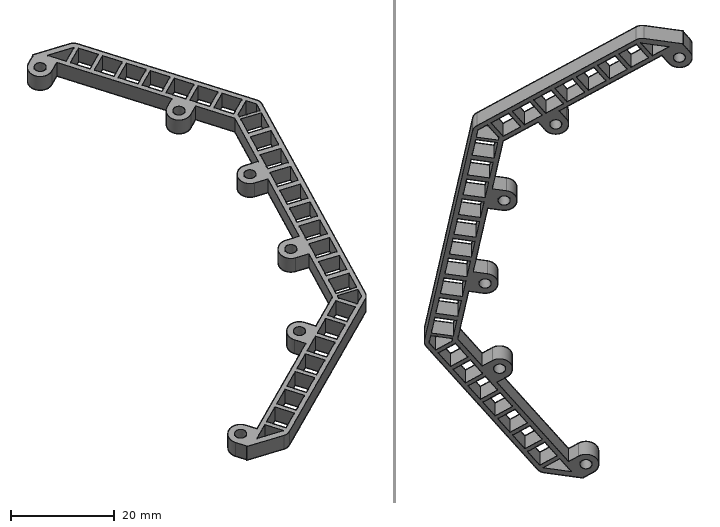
import cadquery as cq
import math


length = 110.0
depth = 38.5
height = 4.0

bar_width = 6.3
sloped_bar_width = 6.0
inner_corner_x = 25.1
corner_round = 2.0
wall = 1.0
end_wall = 1.2

straight_rib = 1.1
sloped_rib = 0.9
end_rib = 0.7
straight_windows = 10
ladder_length = 50.0
sloped_windows = 7
sloped_start = 0.2

lug_width = 5.0
hole_diameter = 2.3
straight_lug_spacing = 21.0
straight_lug_reach = 2.8
end_lug_x = 51.5
sloped_lug_spacing = 29.0

diagonal = math.sqrt(2)
half_length = length / 2
rib_pitch = ladder_length / straight_windows
lug_radius = lug_width / 2
inner_slope_offset = inner_corner_x - bar_width
outer_slope_offset = inner_slope_offset + sloped_bar_width * diagonal
outer_corner_x = outer_slope_offset
side_corner_y = outer_slope_offset - half_length
end_lug_y = lug_radius - depth
lug_step = sloped_lug_spacing / diagonal
sloped_lug_reach = (inner_slope_offset - end_lug_x - end_lug_y) / diagonal

straight_lug = (-straight_lug_spacing / 2, -bar_width - straight_lug_reach)
sloped_lugs = [
    (-end_lug_x, end_lug_y),
    (-end_lug_x + lug_step, end_lug_y + lug_step),
]


def prism(points):
    """Full-height block over a closed outline."""
    return cq.Workplane("XY").polyline(points).close().extrude(height)


def both_sides(shape):
    """The shape joined with its mirror image about X = 0."""
    return shape.union(shape.mirror("YZ"))


def make_half_bars():
    """Solid straight and sloped bars with the two outer corners rounded."""
    bars = prism([
        (0, 0),
        (-outer_corner_x, 0),
        (-half_length, side_corner_y),
        (-half_length, inner_slope_offset - half_length),
        (-inner_corner_x, -bar_width),
        (0, -bar_width),
    ])
    margin = wall
    outer_corners = cq.selectors.BoxSelector(
        (-half_length - margin, side_corner_y - margin, 0),
        (-outer_corner_x + margin, margin, height),
    )
    return bars.edges("|Z").edges(outer_corners).fillet(corner_round)


def make_lug(centre, reach, angle):
    """Round-ended tab that roots one wall thickness inside the bar's inner edge."""
    root_length = reach + wall
    root = cq.Workplane("XY").center(0, root_length / 2).rect(lug_width, root_length).extrude(height)
    tab = root.union(cq.Workplane("XY").circle(lug_radius).extrude(height))
    return tab.rotate((0, 0, 0), (0, 0, 1), angle).translate(centre)


def make_half_frame():
    """Bars and lugs, with the end lug's root trimmed flush with the side face."""
    frame = make_half_bars().union(make_lug(straight_lug, straight_lug_reach, 0))
    for centre in sloped_lugs:
        frame = frame.union(make_lug(centre, sloped_lug_reach, 45))
    half_envelope = cq.Workplane("XY").box(half_length, depth, height, centered=False)
    return frame.intersect(half_envelope.translate((-half_length, -depth, 0)))


def make_straight_windows():
    """Full row of windows, with a rib on the centre line."""
    return (
        cq.Workplane("XY")
        .center(0, -bar_width / 2)
        .rarray(rib_pitch, 1.1, straight_windows, 1)
        .rect(rib_pitch - straight_rib, bar_width - 2 * wall)
        .extrude(height)
    )


def make_sloped_windows():
    """Row of windows down the left slope."""
    slope = cq.Plane(origin=(-inner_corner_x, -bar_width, 0), xDir=(-1, -1, 0), normal=(0, 0, 1))
    row_centre = sloped_start + sloped_windows * rib_pitch / 2
    return (
        cq.Workplane(slope)
        .center(row_centre, -sloped_bar_width / 2)
        .rarray(rib_pitch, 1.1, sloped_windows, 1)
        .rect(rib_pitch - sloped_rib, sloped_bar_width - 2 * wall)
        .extrude(height)
    )


def rib_line_sum(distance):
    """Value of x + y on the line square to the slope, at a distance from the inner corner."""
    return -inner_corner_x - bar_width - distance * diagonal


def crossing(line_sum, slope_offset):
    """Point where x + y = line_sum meets y = x + slope_offset."""
    return ((line_sum - slope_offset) / 2, (line_sum + slope_offset) / 2)


def make_corner_window():
    """Window between the straight and sloped ladders, with a narrow floor above the inner corner."""
    right_x = -(ladder_length - straight_rib) / 2 - end_rib
    rib_sum = rib_line_sum(sloped_start - sloped_rib / 2)
    floor_y = wall - bar_width
    top_offset = outer_slope_offset - wall * diagonal
    return prism([
        (right_x, -wall),
        (-wall - top_offset, -wall),
        crossing(rib_sum, top_offset),
        (rib_sum - floor_y, floor_y),
        (right_x, floor_y),
    ])


def make_end_window():
    """Triangular window behind the side wall."""
    left_x = end_wall - half_length
    rib_sum = rib_line_sum(sloped_start + sloped_windows * rib_pitch + sloped_rib / 2)
    bottom_offset = inner_slope_offset + wall * diagonal
    return prism([
        (left_x, rib_sum - left_x),
        crossing(rib_sum, bottom_offset),
        (left_x, left_x + bottom_offset),
    ])


def make_lug_holes():
    """Through holes of the left lugs."""
    centres = [straight_lug] + sloped_lugs
    return cq.Workplane("XY").pushPoints(centres).circle(hole_diameter / 2).extrude(height)


half_cuts = (
    make_sloped_windows()
    .union(make_corner_window())
    .union(make_end_window())
    .union(make_lug_holes())
)
result = both_sides(make_half_frame()).cut(make_straight_windows()).cut(both_sides(half_cuts))